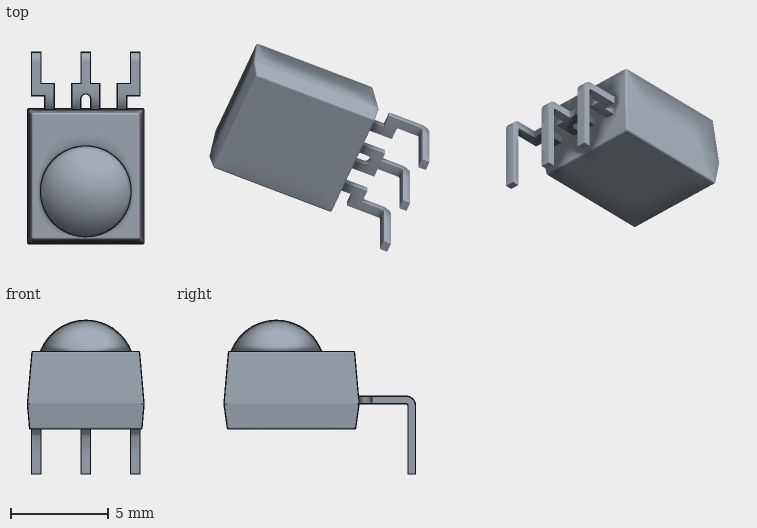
import cadquery as cq
import math

BODY_WIDTH = 6.0
BODY_LENGTH = 6.95
HEIGHT_ABOVE_PARTING = 2.7
HEIGHT_BELOW_PARTING = 1.3
DRAFT_ANGLE = 5.0
LOWER_END_DRAFT_ANGLE = 8.0
EDGE_RADIUS = 0.1

LENS_RADIUS = 2.5
LENS_HEIGHT = 1.6
LENS_FROM_FRONT = 2.7

LEAD_THICKNESS = 0.4
LEAD_WIDTH = 0.5
LEAD_PITCH = 2.54
LEAD_REACH = 2.9
LEAD_BELOW_BODY = 2.3
BEND_INNER_RADIUS = 0.1
SHOULDER_START = 0.65
SHOULDER_END = 1.3
OUTER_LEAD_JOG = 0.68
CENTRE_SHOULDER_WIDTH = 1.44
SLOT_DEPTH = 0.75
LEAD_EMBED = 0.5

BODY_CENTRE_Y = -BODY_LENGTH / 2
LEAD_TIP_Z = -HEIGHT_BELOW_PARTING - LEAD_BELOW_BODY


def make_body_half(height, side_draft, end_draft, outer_face):
    """Drafted half of the body from the parting plane to a signed height, with rounded edges."""
    side_inset = abs(height) * math.tan(math.radians(side_draft))
    end_inset = abs(height) * math.tan(math.radians(end_draft))
    half = (
        cq.Workplane("XY")
        .center(0, BODY_CENTRE_Y)
        .rect(BODY_WIDTH, BODY_LENGTH)
        .workplane(offset=height)
        .rect(BODY_WIDTH - 2 * side_inset, BODY_LENGTH - 2 * end_inset)
        .loft(ruled=True)
    )
    corner_edges = half.edges("not #Z")
    outer_edges = half.faces(outer_face).edges()
    return half.newObject(corner_edges.vals() + outer_edges.vals()).fillet(EDGE_RADIUS)


def make_body():
    upper = make_body_half(HEIGHT_ABOVE_PARTING, DRAFT_ANGLE, DRAFT_ANGLE, ">Z")
    lower = make_body_half(-HEIGHT_BELOW_PARTING, DRAFT_ANGLE, LOWER_END_DRAFT_ANGLE, "<Z")
    return upper.union(lower)


def make_lens():
    """Sphere cut off at the parting plane, so that its lower part lies inside the body."""
    centre_z = HEIGHT_ABOVE_PARTING + LENS_HEIGHT - LENS_RADIUS
    centre_y = LENS_FROM_FRONT - BODY_LENGTH
    sphere = cq.Workplane("XY").sphere(LENS_RADIUS).translate((0, centre_y, centre_z))
    keep_size = 2 * LENS_RADIUS
    keep = (
        cq.Workplane("XY")
        .box(keep_size, keep_size, keep_size, centered=(True, True, False))
        .translate((0, centre_y, 0))
    )
    return sphere.intersect(keep)


def plan_box(centre_x, width, start_y, end_y):
    """Strip of lead stock, spanning start_y to end_y."""
    return (
        cq.Workplane("XY")
        .box(width, end_y - start_y, LEAD_THICKNESS, centered=(True, False, False))
        .translate((centre_x, start_y, 0))
    )


def make_bent_tail(centre_x):
    """Horizontal run from the shoulder, the bend, and the downward pin."""
    outer_radius = BEND_INNER_RADIUS + LEAD_THICKNESS
    profile = (
        cq.Workplane("YZ")
        .moveTo(SHOULDER_START, 0)
        .lineTo(SHOULDER_START, LEAD_THICKNESS)
        .lineTo(LEAD_REACH - outer_radius, LEAD_THICKNESS)
        .radiusArc((LEAD_REACH, LEAD_THICKNESS - outer_radius), outer_radius)
        .lineTo(LEAD_REACH, LEAD_TIP_Z)
        .lineTo(LEAD_REACH - LEAD_THICKNESS, LEAD_TIP_Z)
        .lineTo(LEAD_REACH - LEAD_THICKNESS, -BEND_INNER_RADIUS)
        .radiusArc((LEAD_REACH - outer_radius, 0), -BEND_INNER_RADIUS)
        .close()
    )
    return profile.extrude(LEAD_WIDTH / 2, both=True).translate((centre_x, 0, 0))


def make_outer_lead(side):
    """Lead whose tail is jogged outwards; side is -1 or 1."""
    tail_x = side * LEAD_PITCH
    root_x = tail_x - side * OUTER_LEAD_JOG
    root = plan_box(root_x, LEAD_WIDTH, -LEAD_EMBED, SHOULDER_END)
    shoulder = plan_box(
        (tail_x + root_x) / 2,
        OUTER_LEAD_JOG + LEAD_WIDTH,
        SHOULDER_START,
        SHOULDER_END,
    )
    return make_bent_tail(tail_x).union(root).union(shoulder)


def make_centre_lead():
    """Straight lead with a wide shoulder, split by a round-ended slot behind the body."""
    slot_radius = LEAD_WIDTH / 2
    slot_straight = SLOT_DEPTH - slot_radius
    slot = (
        cq.Workplane("XY")
        .moveTo(-slot_radius, -LEAD_EMBED)
        .lineTo(-slot_radius, slot_straight)
        .threePointArc((0, SLOT_DEPTH), (slot_radius, slot_straight))
        .lineTo(slot_radius, -LEAD_EMBED)
        .close()
        .extrude(LEAD_THICKNESS)
    )
    shoulder = plan_box(0, CENTRE_SHOULDER_WIDTH, -LEAD_EMBED, SHOULDER_END)
    return make_bent_tail(0).union(shoulder).cut(slot)


result = make_body().union(make_lens()).union(make_centre_lead())
for lead_side in (-1, 1):
    result = result.union(make_outer_lead(lead_side))